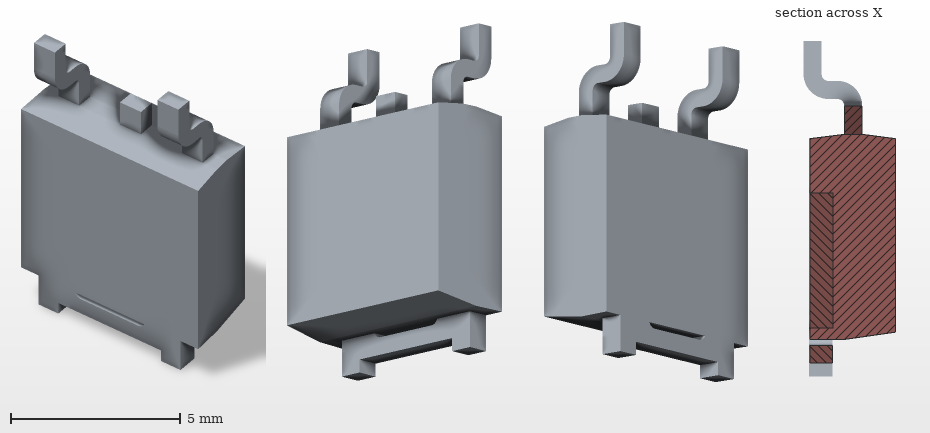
import cadquery as cq

total_height = 9.91

housing_front_width = 6.54
housing_back_width = 6.18
housing_front = 0.17
housing_back = 2.72
housing_bottom = 1.09
housing_back_bottom = 1.31
housing_top = 7.16
housing_edge_top = 7.04

tab_thickness = 0.69
tab_top = 5.41
plate_half_width = 2.43
notch_half_width = 2.27
notch_top = 1.81
notch_bottom = 1.44
base_half_width = 2.62
foot_inner_half_width = 1.89
foot_height = 0.4
slot_length = 2.6
slot_height = 0.51

lead_width = 0.77
lead_spacing = 4.56
lead_thickness = 0.54
lead_root_front = 1.2
lead_root_back = lead_root_front + lead_thickness
shelf_bottom = 8.2
shelf_top = shelf_bottom + lead_thickness
inner_bend_radius = 0.2
outer_bend_radius = inner_bend_radius + lead_thickness
stub_top = shelf_top - outer_bend_radius


def make_tab():
    """Plate with a notch in each side, two feet and a round-ended slot."""
    right_outline = [
        (plate_half_width, tab_top),
        (plate_half_width, notch_top),
        (notch_half_width, notch_top),
        (notch_half_width, notch_bottom),
        (base_half_width, notch_bottom),
        (base_half_width, 0),
        (foot_inner_half_width, 0),
        (foot_inner_half_width, foot_height),
    ]
    left_outline = [(-x, z) for x, z in reversed(right_outline)]
    front_plane = cq.Workplane("XZ", origin=(0, housing_front, 0))
    plate = front_plane.polyline(right_outline + left_outline).close().extrude(-tab_thickness)
    slot = (
        front_plane.center(0, notch_bottom - slot_height / 2)
        .slot2D(slot_length, slot_height)
        .extrude(-tab_thickness)
    )
    return plate.cut(slot)


def make_housing(tab):
    """Block tapering in width towards the back, with a recess that fits the tab."""
    side_profile = [
        (housing_front, housing_bottom),
        (lead_root_front, housing_bottom),
        (housing_back, housing_back_bottom),
        (housing_back, housing_edge_top),
        (lead_root_back, housing_top),
        (lead_root_front, housing_top),
        (housing_front, housing_edge_top),
    ]
    plan_outline = [
        (-housing_front_width / 2, housing_front),
        (housing_front_width / 2, housing_front),
        (housing_back_width / 2, housing_back),
        (-housing_back_width / 2, housing_back),
    ]
    block = cq.Workplane("YZ").polyline(side_profile).close().extrude(housing_front_width / 2, both=True)
    tapered_prism = cq.Workplane("XY").polyline(plan_outline).close().extrude(total_height)
    return block.intersect(tapered_prism).cut(tab)


def make_lead(center_x):
    """S-bent strip rising from the housing top and stepping forward."""
    strip = (
        cq.Workplane("YZ", origin=(center_x, 0, 0))
        .moveTo(lead_root_front, housing_top)
        .lineTo(lead_root_back, housing_top)
        .lineTo(lead_root_back, shelf_top)
        .lineTo(lead_thickness, shelf_top)
        .lineTo(lead_thickness, total_height)
        .lineTo(0, total_height)
        .lineTo(0, shelf_bottom)
        .lineTo(lead_root_front, shelf_bottom)
        .close()
        .extrude(lead_width / 2, both=True)
    )
    outer_corners = [(lead_root_back, shelf_top), (0, shelf_bottom)]
    inner_corners = [(lead_root_front, shelf_bottom), (lead_thickness, shelf_top)]
    for corners, radius in ((outer_corners, outer_bend_radius), (inner_corners, inner_bend_radius)):
        for y, z in corners:
            strip = strip.edges(cq.NearestToPointSelector((center_x, y, z))).fillet(radius)
    return strip


def make_stub():
    """Short straight middle lead."""
    return (
        cq.Workplane("XY", origin=(0, lead_root_front, housing_top))
        .box(lead_width, lead_thickness, stub_top - housing_top, centered=(True, False, False))
    )


tab = make_tab()
housing = make_housing(tab)
leads = [make_lead(side * lead_spacing / 2) for side in (-1, 1)]
stub = make_stub()

result = cq.Compound.makeCompound(
    [housing.val(), tab.val(), stub.val(), *[lead.val() for lead in leads]]
)